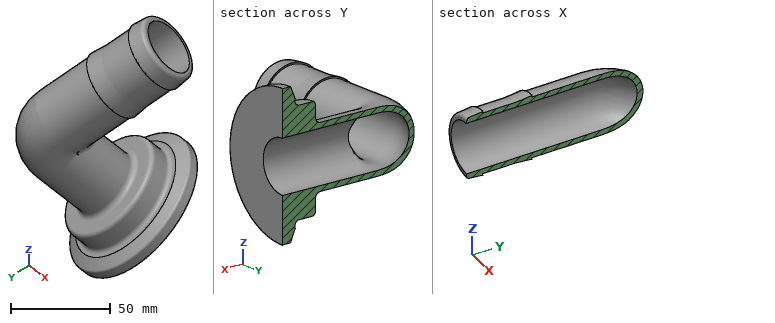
import cadquery as cq
import math

FLANGE_FACE_X = 70.0
HOSE_END_Y = -87.4

TUBE_RADIUS = 36.9 / 2
BORE_RADIUS = 30.2 / 2
BEND_RADIUS = 13.4
INNER_CORNER_FILLET = 2.6
INNER_CORNER_RUN_IN = 1.0

BARB_RADIUS = 19.3
BARB_LENGTH = 9.5
FIRST_BARB_Y = -49.2
END_BARB_Y = HOSE_END_Y + BARB_LENGTH
HOSE_END_FILLET = 2.0

COLLAR_RADIUS = 61.0 / 2
COLLAR_X = FLANGE_FACE_X - 21.5
COLLAR_EDGE_FILLET = 2.3
NECK_FILLET = 3.1

FLANGE_RADIUS = 83.0 / 2
FLANGE_THICKNESS = 8.4
RIM_THICKNESS = 5.4
CONE_INNER_RADIUS = 34.4
FLANGE_ROOT_FILLET = 2.3
RIM_FILLET = 1.4


def elbow(radius):
    """Quarter bend; the disc is cut at the bend axis because it is wider than the bend radius."""
    half_chord = math.sqrt(radius**2 - BEND_RADIUS**2)
    return (
        cq.Workplane("YZ", origin=(BEND_RADIUS, 0, 0))
        .moveTo(-BEND_RADIUS, -half_chord)
        .threePointArc((radius, 0), (-BEND_RADIUS, half_chord))
        .close()
        .revolve(90, (-BEND_RADIUS, 0), (-BEND_RADIUS, 1))
    )


def flange_leg(radius, end_x):
    """Straight rod from the elbow towards the flange."""
    return cq.Workplane("YZ", origin=(BEND_RADIUS, 0, 0)).circle(radius).extrude(end_x - BEND_RADIUS)


def hose_leg(radius, end_y):
    """Straight rod from the elbow towards the hose end."""
    return cq.Workplane("XZ", origin=(0, -BEND_RADIUS, 0)).circle(radius).extrude(-BEND_RADIUS - end_y)


def rounded_inner_corner():
    """Block of the two legs around the edge where they meet inside the bend, with that edge filleted.

    The edge runs a little way past the bend axis so that the fillet fades into the elbow.
    """
    edge_end = BEND_RADIUS - INNER_CORNER_RUN_IN
    edge_height = 2 * math.sqrt(TUBE_RADIUS**2 - edge_end**2)
    block_side = 2 * BEND_RADIUS
    block = (
        cq.Workplane("XY")
        .box(block_side, block_side, edge_height)
        .translate((BEND_RADIUS, -BEND_RADIUS, 0))
    )
    x_leg = cq.Workplane("YZ").circle(TUBE_RADIUS).extrude(block_side)
    y_leg = cq.Workplane("XZ").circle(TUBE_RADIUS).extrude(block_side)
    return x_leg.union(y_leg).intersect(block).edges("%ELLIPSE").fillet(INNER_CORNER_FILLET)


def barb(start_y):
    """Solid ring that is widest at start_y and tapers down to the tube towards the hose end."""
    end_y = start_y - BARB_LENGTH
    return (
        cq.Workplane("XY")
        .polyline([(0, start_y), (BARB_RADIUS, start_y), (TUBE_RADIUS, end_y), (0, end_y)])
        .close()
        .revolve(360, (0, 0), (0, 1))
    )


def end_barb():
    """Barb flush with the hose end, rounded at its tip."""
    return barb(END_BARB_Y).faces("<Y").edges().fillet(HOSE_END_FILLET)


def round_edge(solid, x, radius, fillet):
    """Fillet the circular edge of this radius that lies around the X axis at x."""
    margin = 0.1
    reach = radius + margin
    around_edge = cq.selectors.BoxSelector(
        (x - margin, -reach, -reach),
        (x + margin, reach, reach),
        boundingbox=True,
    )
    return solid.edges(around_edge).edges(cq.selectors.RadiusNthSelector(-1)).fillet(fillet)


def collar_and_flange():
    """Stepped disc around the X axis, with a short stub of tube in front for the neck fillet."""
    flange_back_x = FLANGE_FACE_X - FLANGE_THICKNESS
    rim_x = FLANGE_FACE_X - RIM_THICKNESS
    stub_x = COLLAR_X - 2 * NECK_FILLET
    profile = [
        (stub_x, 0),
        (stub_x, TUBE_RADIUS),
        (COLLAR_X, TUBE_RADIUS),
        (COLLAR_X, COLLAR_RADIUS),
        (flange_back_x, COLLAR_RADIUS),
        (flange_back_x, CONE_INNER_RADIUS),
        (rim_x, FLANGE_RADIUS),
        (FLANGE_FACE_X, FLANGE_RADIUS),
        (FLANGE_FACE_X, 0),
    ]
    disc = cq.Workplane("XY").polyline(profile).close().revolve(360, (0, 0), (1, 0))
    disc = round_edge(disc, COLLAR_X, TUBE_RADIUS, NECK_FILLET)
    disc = round_edge(disc, COLLAR_X, COLLAR_RADIUS, COLLAR_EDGE_FILLET)
    disc = round_edge(disc, flange_back_x, COLLAR_RADIUS, FLANGE_ROOT_FILLET)
    return round_edge(disc, rim_x, FLANGE_RADIUS, RIM_FILLET)


outside = (
    elbow(TUBE_RADIUS)
    .union(flange_leg(TUBE_RADIUS, COLLAR_X))
    .union(hose_leg(TUBE_RADIUS, END_BARB_Y))
    .union(rounded_inner_corner())
    .union(barb(FIRST_BARB_Y))
    .union(end_barb())
    .union(collar_and_flange())
)
bore = (
    elbow(BORE_RADIUS)
    .union(flange_leg(BORE_RADIUS, FLANGE_FACE_X))
    .union(hose_leg(BORE_RADIUS, HOSE_END_Y))
)
result = outside.cut(bore)